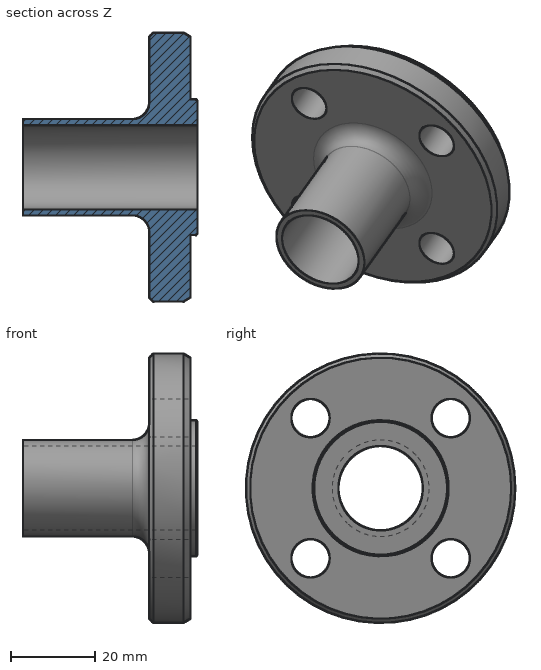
import cadquery as cq

overall_length = 41.5
flange_diameter = 64.0
tube_diameter = 23.0
bore_diameter = 20.0
raised_face_diameter = 32.3

raised_face_height = 1.65
flange_thickness = 9.85
neck_fillet = 4.0

rim_chamfer = 1.0
sealing_rim_length = 1.7
raised_face_chamfer = 0.4

bolt_hole_diameter = 9.0
bolt_spacing = 33.3

flange_front = overall_length - raised_face_height
flange_back = flange_front - flange_thickness


def disc(start_x, end_x, diameter):
    """Cylinder around the X axis between two X positions."""
    return cq.Workplane("YZ", origin=(start_x, 0, 0)).circle(diameter / 2).extrude(end_x - start_x)


def flange_plate():
    """Flange disc with both rim edges chamfered, revolved around X."""
    radius = flange_diameter / 2
    chamfered_radius = radius - rim_chamfer
    return (
        cq.Workplane("XY")
        .moveTo(flange_back, 0)
        .lineTo(flange_back, chamfered_radius)
        .lineTo(flange_back + rim_chamfer, radius)
        .lineTo(flange_front - sealing_rim_length, radius)
        .lineTo(flange_front, chamfered_radius)
        .lineTo(flange_front, 0)
        .close()
        .revolve(360, (0, 0, 0), (1, 0, 0))
    )


def neck():
    """Tube that flares through a concave fillet into the flange."""
    radius = tube_diameter / 2
    return (
        cq.Workplane("XY")
        .lineTo(0, radius)
        .lineTo(flange_back - neck_fillet, radius)
        .radiusArc((flange_back, radius + neck_fillet), -neck_fillet)
        .lineTo(flange_back, 0)
        .close()
        .revolve(360, (0, 0, 0), (1, 0, 0))
    )


def raised_face():
    """Sealing face with a chamfered outer edge."""
    return disc(flange_front, overall_length, raised_face_diameter).faces(">X").chamfer(raised_face_chamfer)


bore = disc(0, overall_length, bore_diameter)
bolt_holes = (
    cq.Workplane("YZ", origin=(flange_back, 0, 0))
    .rect(bolt_spacing, bolt_spacing, forConstruction=True)
    .vertices()
    .circle(bolt_hole_diameter / 2)
    .extrude(flange_thickness)
)

result = flange_plate().union(neck()).union(raised_face()).cut(bore).cut(bolt_holes)